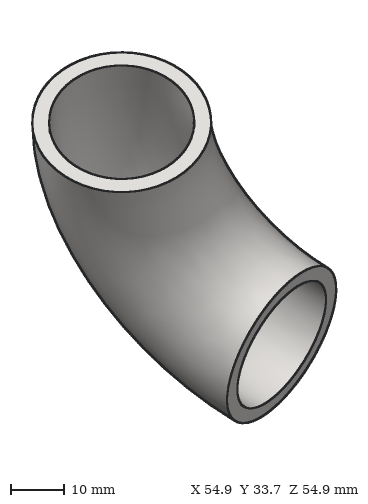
import cadquery as cq

overall_size = 54.85
outer_diameter = 33.7
wall_thickness = 3.2
bend_angle = 90.0

bore_diameter = outer_diameter - 2 * wall_thickness
bend_radius = overall_size - outer_diameter / 2

result = (
    cq.Workplane("XY")
    .circle(outer_diameter / 2)
    .circle(bore_diameter / 2)
    .revolve(bend_angle, (bend_radius, 0, 0), (bend_radius, -1, 0))
)